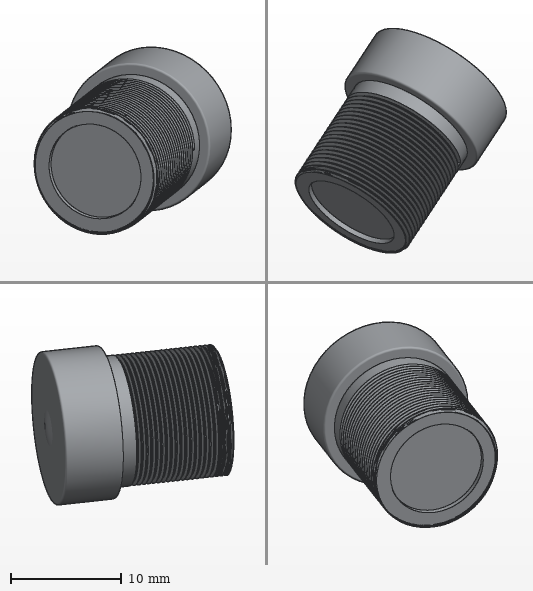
import cadquery as cq

total_length = 16.13
head_diameter = 14.03
head_start = 10.55
head_end = 15.94
head_edge_radius = 0.2
dome_height = total_length - head_end
dome_radius = 1.65

shank_diameter = 12.0
window_diameter = 9.0
window_depth = 0.5

thread_pitch = 0.45
thread_depth = 0.3
crest_width = 0.03
root_width = 0.1
thread_start = -0.8
thread_turns = 22
spare_length = 1.29
cutter_overlap = 0.008


def cylinder(diameter, start, end):
    return cq.Workplane("XY").workplane(offset=start).circle(diameter / 2).extrude(end - start)


def make_head():
    """Large round head with rounded rims."""
    return cylinder(head_diameter, head_start, head_end).edges("%CIRCLE").fillet(head_edge_radius)


def make_dome():
    """Shallow spherical cap at the centre of the head."""
    sphere_radius = (dome_radius**2 + dome_height**2) / (2 * dome_height)
    sphere = cq.Workplane("XY").sphere(sphere_radius).translate((0, 0, total_length - sphere_radius))
    return sphere.intersect(cylinder(2 * dome_radius, head_end - head_edge_radius, total_length))


def make_thread_groove():
    """Right-hand helical V groove with a narrow flat root."""
    shank_radius = shank_diameter / 2
    root_radius = shank_radius - thread_depth
    mouth_radius = shank_radius + cutter_overlap
    half_root = root_width / 2
    half_mouth = (thread_pitch - crest_width) / 2
    helix = cq.Wire.makeHelix(thread_pitch, thread_pitch * thread_turns, root_radius)
    profile = cq.Workplane("XZ").polyline([
        (root_radius, -half_root),
        (mouth_radius, -half_mouth),
        (mouth_radius, half_mouth),
        (root_radius, half_root),
    ]).close()
    groove = profile.sweep(cq.Workplane(obj=helix), isFrenet=True)
    return groove.translate((0, 0, thread_start))


def make_shank():
    """Threaded shank with a shallow round recess in its flat end."""
    blank = cylinder(shank_diameter, -spare_length, head_start)
    spare = cylinder(head_diameter, -spare_length, 0)
    window = cylinder(window_diameter, 0, window_depth)
    return blank.cut(make_thread_groove()).cut(spare).cut(window)


body = make_shank().union(make_head()).union(make_dome())
result = body.rotate((0, 0, 0), (1, 0, 0), -90)